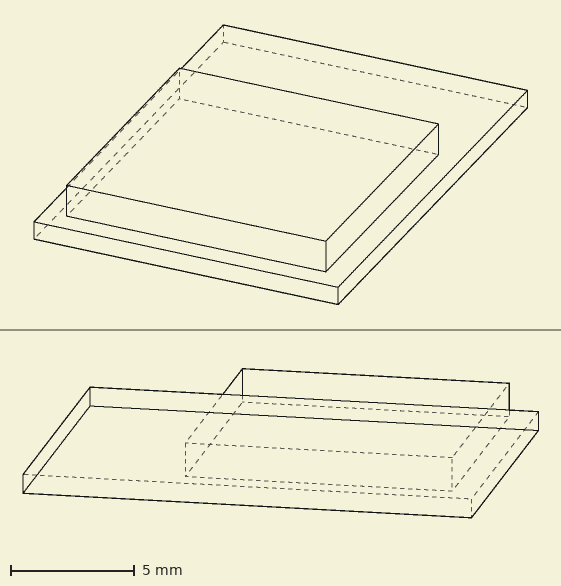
import cadquery as cq

board_width = 13.5
board_length = 18.5
board_thickness = 0.8

total_height = 2.2
can_margin = 1.0
can_length = 11.0
can_width = board_width - 2 * can_margin
can_height = total_height - board_thickness
can_center_y = -board_length / 2 + can_margin + can_length / 2

board = cq.Workplane("XY").box(
    board_width, board_length, board_thickness, centered=(True, True, False)
)

shield_can = (
    cq.Workplane("XY", origin=(0, can_center_y, board_thickness))
    .box(can_width, can_length, can_height, centered=(True, True, False))
)

result = board.union(shield_can)